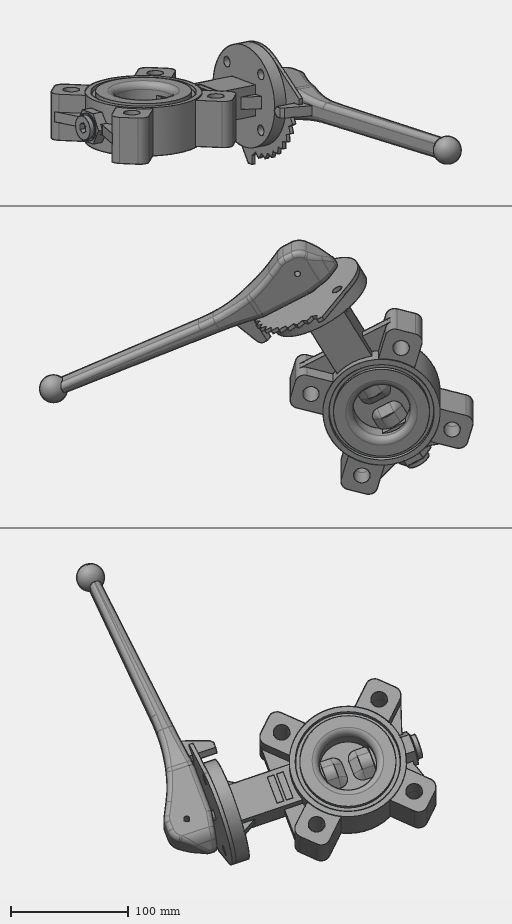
import cadquery as cq
import math


overall_length_x = 313.39
overall_length_y = 228.7

ring_dia = 100
ring_height = 43
seat_dia = 82
seat_height = 45
groove_dia = 90
groove_depth = 3
groove_wall_draft = 10
bore_dia = 49
bore_lip_radius = 6

bolt_circle_dia = 125
bolt_hole_dia = 14
lug_width = 32
lug_reach = 78.5
lug_corner_radius = 8
lug_height = 41
web_thickness = 9
lug_center = bolt_circle_dia / 2 / math.sqrt(2)
lug_side = (lug_reach + lug_width / 2) / math.sqrt(2) - lug_corner_radius * (math.sqrt(2) - 1)

disc_thickness = 4
disc_hub_width = 28
disc_hub_rise = 5.8
disc_hub_crown = 1.9
disc_hub_corner_radius = 8
disc_hub_taper = 53
disc_hub_inner_y = 3
bore_flat_y = 21.7
bore_flat_height = 24

hexagon_flats = 27
hexagon_bottom_y = -58.6
collar_dia = 24
collar_thickness = 1
plug_dia = 21
plug_bottom_y = -64
socket_flats = 8
socket_depth = 5

neck_width = 34
neck_depth = 27.5
pad_width = 25
pad_height = 6
pad_recess = 0.5
pad_centers_y = (57.2, 65.6)
flange_dia = 90
flange_bottom_y = 105.5
flange_top_y = 117.5
gusset_reach = 26
gusset_bottom_y = 90.5
gusset_thickness = 11
plate_top_y = 121
mount_circle_dia = 70
mount_hole_dia = 9
mount_angles = (45, 135, 225, 315)
open_mount_angles = (45, 225)
plate_tip_reach = 64
tooth_tip_radius = 56.4
tooth_valley_radius = 52
tooth_count = 10
tooth_pitch = 10
plate_wrap_angle = 100
plate_axis_angle = -45
stem_dia = 9

lever_bottom_y = 123.2
lever_top_y = plug_bottom_y + overall_length_y
head_width = 28
rod_width = 18.3
edge_radius = 4.8
crown_radius = 14
crown_left_x = -4.5
crown_right_x = 3.4
nose_slope = 54
crown_fall = 26.6
crown_slope_length = 13
nose_under_slope = 10.5
nose_under_x = 0.5
nose_shoulder_radius = 15
nose_shoulder_x = -13
nose_tip_radius = 5
waist_x = 85
waist_y = 142.2
rod_top_start = (99, 142.6)
rod_top_slope = 4.2
rod_under_start_x = 45
rod_under_slope = 5.8
rod_end_x = 231
head_flat_end_x = 47
waist_blend_radius = 16
lock_hole_dia = 5
lock_hole_center = (0, 146)
ball_dia = 24
ball_center = (overall_length_x - lug_side - ball_dia / 2, 147.9)

latch_width = 9
lever_root_depth = 3
latch_bottom_y = 99.8
latch_root_x = 71.5
latch_bevel_x = 63.2
latch_bevel_y = 102.5
latch_tip_x = 60.5


def polar(radius, degrees):
    return radius * math.cos(math.radians(degrees)), radius * math.sin(math.radians(degrees))


def disk(dia, height):
    """Cylinder about Z, centred on the origin."""
    return cq.Workplane("XY").circle(dia / 2).extrude(height / 2, both=True)


def along_stem(y):
    """Sketch plane square to the stem at height y: local x is X, local y is Z, extrusion goes to -Y."""
    return cq.Workplane("XZ", origin=(0, y, 0))


def plate_on_mid(points, thickness):
    """Flat plate with the given XY outline, centred on Z = 0."""
    return cq.Workplane("XY").polyline(points).close().extrude(thickness / 2, both=True)


def make_lugs():
    arms = None
    for angle in (45, 135):
        arm = (
            cq.Workplane("XY").rect(2 * lug_reach, lug_width).extrude(lug_height / 2, both=True)
            .edges("|Z").fillet(lug_corner_radius).rotate((0, 0, 0), (0, 0, 1), angle)
        )
        arms = arm if arms is None else arms.union(arm)
    return arms


def make_webs():
    upper = plate_on_mid(
        [(-lug_center, 0), (lug_center, 0), (lug_center, lug_side), (-lug_center, lug_side)], web_thickness)
    foot_x = 42
    foot_y = -lug_side + 0.3
    hexagon_x = hexagon_flats / math.sqrt(3)
    web_end_y = -54.5
    lower = plate_on_mid(
        [(-foot_x, foot_y), (-hexagon_x, web_end_y), (hexagon_x, web_end_y), (foot_x, foot_y),
         (lug_center, -lug_center), (0, 0), (-lug_center, -lug_center)], web_thickness)
    return upper.union(lower)


def make_neck():
    neck = along_stem(flange_bottom_y).rect(neck_width, neck_depth).extrude(flange_bottom_y)
    for y in pad_centers_y:
        pad = (
            cq.Workplane("XY", origin=(0, y, neck_depth / 2))
            .rect(pad_width, pad_height).extrude(-pad_recess)
        )
        neck = neck.cut(pad)
    gussets = plate_on_mid(
        [(-gusset_reach, flange_bottom_y), (gusset_reach, flange_bottom_y),
         (neck_width / 2, gusset_bottom_y), (-neck_width / 2, gusset_bottom_y)], gusset_thickness)
    return neck.union(gussets)


def make_flange():
    flange = along_stem(flange_top_y).circle(flange_dia / 2).extrude(flange_top_y - flange_bottom_y)
    holes = (
        along_stem(flange_top_y).pushPoints([polar(mount_circle_dia / 2, angle) for angle in mount_angles])
        .circle(mount_hole_dia / 2).extrude(flange_top_y - flange_bottom_y)
    )
    return flange.cut(holes)


def make_bottom_boss():
    hexagon = along_stem(0).polygon(6, hexagon_flats * 2 / math.sqrt(3)).extrude(-hexagon_bottom_y)
    collar = along_stem(hexagon_bottom_y).circle(collar_dia / 2).extrude(collar_thickness)
    plug = along_stem(hexagon_bottom_y).circle(plug_dia / 2).extrude(hexagon_bottom_y - plug_bottom_y)
    socket = (
        along_stem(plug_bottom_y + socket_depth).transformed(rotate=(0, 0, 30))
        .polygon(6, socket_flats * 2 / math.sqrt(3)).extrude(socket_depth)
    )
    return hexagon.union(collar).union(plug).cut(socket)


def make_disc():
    """Closed disc with a tapered, crowned hub at both ends of the stem axis, on both faces."""
    disc = disk(bore_dia, disc_thickness)
    end_y = bore_dia / 2
    hub_length = 2 * (end_y - disc_hub_inner_y)
    slope_run = disc_hub_rise * math.tan(math.radians(disc_hub_taper))
    crown_half_width = disc_hub_width / 2 - slope_run
    crown_base_z = disc_thickness / 2 + disc_hub_rise
    hub = (
        cq.Workplane("XY", origin=(0, end_y, disc_thickness / 2))
        .sketch().rect(disc_hub_width, hub_length).vertices().fillet(disc_hub_corner_radius).finalize()
        .extrude(disc_hub_rise, taper=disc_hub_taper)
    )
    crown = (
        along_stem(end_y).moveTo(-crown_half_width, crown_base_z)
        .threePointArc((0, crown_base_z + disc_hub_crown), (crown_half_width, crown_base_z)).close()
        .extrude(end_y - disc_hub_inner_y - slope_run)
    )
    hub = hub.union(crown).intersect(disk(bore_dia, seat_height))
    hub = hub.union(hub.mirror("XZ"))
    flats = disk(bore_dia, bore_flat_height).cut(
        cq.Workplane("XY").box(bore_dia, 2 * bore_flat_y, bore_flat_height))
    return disc.union(hub).union(hub.mirror("XY")).union(flats)


def make_valve():
    valve = disk(ring_dia, ring_height).union(make_lugs()).union(make_webs())
    valve = valve.union(make_neck()).union(make_bottom_boss()).union(make_flange())
    groove = (
        cq.Workplane("XY", origin=(0, 0, ring_height / 2)).circle(groove_dia / 2)
        .extrude(-groove_depth, taper=groove_wall_draft)
    )
    valve = valve.cut(groove).cut(groove.mirror("XY"))
    seat = disk(seat_dia, seat_height).cut(disk(bore_dia, seat_height))
    seat = seat.edges("%CIRCLE").edges(cq.selectors.RadiusNthSelector(0)).fillet(bore_lip_radius)
    valve = valve.cut(disk(seat_dia, seat_height)).union(seat)
    holes = (
        cq.Workplane("XY").rect(2 * lug_center, 2 * lug_center, forConstruction=True).vertices()
        .circle(bolt_hole_dia / 2).extrude(lug_height, both=True)
    )
    return valve.cut(holes).union(make_disc())


def make_notch_plate():
    """Round plate with a sector at the +X -Z corner that carries the latch notches.

    It opens two of the four flange holes and covers the other two.
    """
    radius = flange_dia / 2
    first_tangent = plate_axis_angle - plate_wrap_angle
    last_tangent = plate_axis_angle + plate_wrap_angle
    first_tip = plate_axis_angle - tooth_count * tooth_pitch / 2
    horn_x = polar(tooth_tip_radius, first_tip)[0]
    normal_x, normal_z = polar(1, first_tangent)
    tip_x = (radius + plate_tip_reach * normal_z) / normal_x

    outline = cq.Workplane("XZ", origin=(0, plate_top_y, 0)).moveTo(*polar(radius, first_tangent))
    outline = outline.lineTo(tip_x, -plate_tip_reach).lineTo(horn_x, -plate_tip_reach)
    for tooth in range(tooth_count):
        angle = first_tip + tooth * tooth_pitch
        outline = outline.lineTo(*polar(tooth_tip_radius, angle))
        outline = outline.lineTo(*polar(tooth_valley_radius, angle + tooth_pitch / 2))
    outline = outline.lineTo(*polar(tooth_tip_radius, -first_tip + 2 * plate_axis_angle))
    outline = outline.lineTo(plate_tip_reach, -horn_x).lineTo(plate_tip_reach, -tip_x)
    outline = outline.lineTo(*polar(radius, last_tangent))
    outline = outline.threePointArc(polar(radius, plate_axis_angle + 180), polar(radius, first_tangent))
    plate_thickness = plate_top_y - flange_top_y
    hole_centers = [polar(mount_circle_dia / 2, angle) for angle in open_mount_angles]
    holes = (
        along_stem(plate_top_y).pushPoints(hole_centers)
        .circle(mount_hole_dia / 2).extrude(plate_thickness)
    )
    return outline.close().extrude(plate_thickness).cut(holes)


def make_stem():
    root_y = lever_bottom_y + lever_root_depth
    return along_stem(root_y).circle(stem_dia / 2).extrude(root_y - plate_top_y)


def lever_side():
    """Side outline of head and rod, extruded over the full head width."""
    nose_x, nose_y = polar(crown_radius, 90 + nose_slope)
    fall_x, fall_y = polar(crown_radius, 90 - crown_fall)
    crown_center_y = lever_top_y - crown_radius
    nose_arc = (crown_left_x + nose_x, crown_center_y + nose_y)
    nose_mid = polar(crown_radius, 90 + nose_slope / 2)
    fall_arc = (crown_right_x + fall_x, crown_center_y + fall_y)
    fall_mid = polar(crown_radius, 90 - crown_fall / 2)
    fall_end = tuple(a + b for a, b in zip(fall_arc, polar(crown_slope_length, -crown_fall)))

    upper_slope = math.tan(math.radians(nose_slope))
    under_slope = math.tan(math.radians(nose_under_slope))
    above_under = nose_arc[1] - lever_bottom_y - under_slope * (nose_under_x - nose_arc[0])
    tip_x = nose_arc[0] - above_under / (upper_slope + under_slope)
    tip_y = lever_bottom_y + (nose_under_x - tip_x) * under_slope
    rod_top_end_y = rod_top_start[1] + (rod_end_x - rod_top_start[0]) * math.tan(math.radians(rod_top_slope))
    rod_under_end_y = lever_bottom_y + (rod_end_x - rod_under_start_x) * math.tan(
        math.radians(rod_under_slope))
    return (
        cq.Workplane("XY").moveTo(tip_x, tip_y).lineTo(*nose_arc)
        .threePointArc((crown_left_x + nose_mid[0], crown_center_y + nose_mid[1]),
                       (crown_left_x, lever_top_y))
        .lineTo(crown_right_x, lever_top_y)
        .threePointArc((crown_right_x + fall_mid[0], crown_center_y + fall_mid[1]), fall_arc)
        .lineTo(*fall_end)
        .tangentArcPoint((waist_x, waist_y), relative=False)
        .tangentArcPoint(rod_top_start, relative=False)
        .lineTo(rod_end_x, rod_top_end_y).lineTo(rod_end_x, rod_under_end_y)
        .lineTo(rod_under_start_x, lever_bottom_y).lineTo(nose_under_x, lever_bottom_y).close()
        .extrude(head_width / 2, both=True)
    )


def lever_plan():
    """Outline of the lever seen along the stem: pointed nose, wide head, narrow rod."""
    half_head = head_width / 2
    half_rod = rod_width / 2
    mid_x, mid_z = polar(nose_shoulder_radius, 112.5)
    end_x, end_z = polar(nose_shoulder_radius, 135)
    shoulder_z = half_head - nose_shoulder_radius
    shoulder_end = (nose_shoulder_x + end_x, shoulder_z + end_z)
    apex_x = shoulder_end[0] - shoulder_end[1]
    waist_run = waist_x - head_flat_end_x
    waist_drop = half_head - half_rod
    waist_mid = (waist_x - waist_run / 2, half_rod + waist_drop / 4)
    half = (
        cq.Workplane("XZ").moveTo(apex_x, 0).lineTo(*shoulder_end)
        .threePointArc((nose_shoulder_x + mid_x, shoulder_z + mid_z), (nose_shoulder_x, half_head))
        .lineTo(head_flat_end_x, half_head)
        .threePointArc(waist_mid, (waist_x, half_rod))
        .lineTo(rod_end_x, half_rod).lineTo(rod_end_x, 0).close()
        .extrude(-2 * lever_top_y)
    )
    plan = half.union(half.mirror("XY"))
    plan = plan.edges("|Y").edges("<X").fillet(nose_tip_radius)
    waist_corners = cq.selectors.BoxSelector(
        (head_flat_end_x - 1, 0, -head_width), (head_flat_end_x + 1, 2 * lever_top_y, head_width))
    return plan.edges("|Y").edges(waist_corners).fillet(waist_blend_radius)


def make_latch():
    """Latch finger whose pointed edge sits in the middle notch of the plate."""
    latch_root_y = lever_bottom_y + lever_root_depth
    finger = plate_on_mid(
        [(tooth_valley_radius, latch_root_y), (latch_root_x, latch_root_y),
         (latch_bevel_x, latch_bevel_y), (latch_tip_x, latch_bottom_y),
         (tooth_valley_radius, latch_bottom_y)], latch_width)
    half = latch_width / 2
    tip_x, tip_z = polar(tooth_tip_radius, tooth_pitch / 2)
    shoulder_x = tooth_valley_radius + half * (tip_x - tooth_valley_radius) / tip_z
    wedge = (
        cq.Workplane("XZ", origin=(0, latch_root_y, 0))
        .polyline([(tooth_valley_radius, 0), (shoulder_x, half), (latch_root_x, half), (latch_root_x, -half),
                   (shoulder_x, -half)]).close()
        .extrude(latch_root_y - latch_bottom_y)
    )
    return finger.intersect(wedge)


def make_lever():
    lever = lever_side().intersect(lever_plan())
    lever = lever.edges("not(|Y or |Z)").edges("not(>X)").fillet(edge_radius)
    ball = cq.Workplane("XY").sphere(ball_dia / 2).translate((*ball_center, 0))
    lock_hole = (
        cq.Workplane("XY").center(*lock_hole_center).circle(lock_hole_dia / 2)
        .extrude(head_width, both=True)
    )
    lever = lever.cut(lock_hole).union(ball).union(make_latch())
    return lever.union(make_stem()).union(make_notch_plate())


valve = make_valve()
lever = make_lever()
result = cq.Compound.makeCompound([valve.solids().val(), lever.solids().val()])